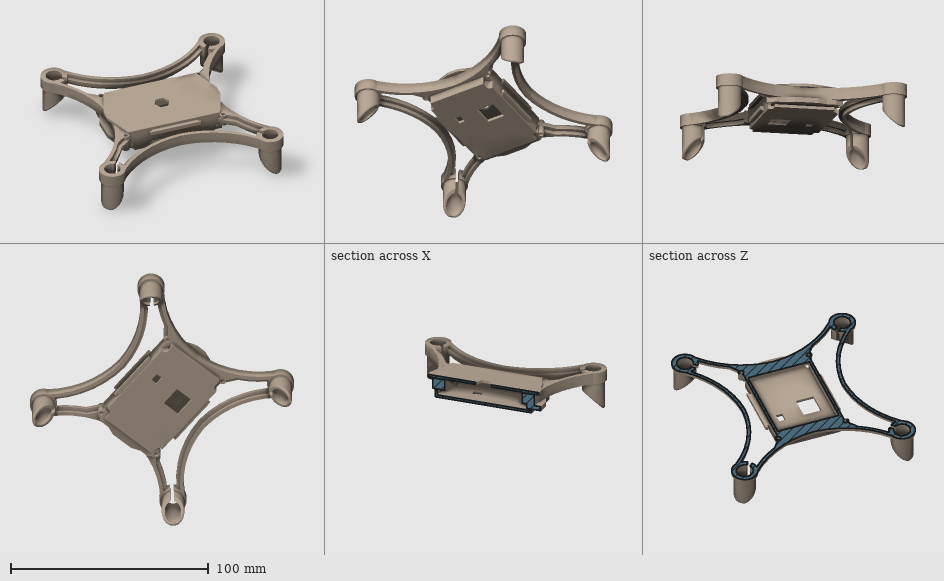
import cadquery as cq
import math

frame_height = 6.0
ring_center = 42.5
ring_radius = 6.795
leg_radius = 5.75
bore_radius = 4.15
leg_length = 16.0
leg_cut_height = 4.3
foot_fillet = 0.8
ring_slot_width = 1.9

arc_radius = 50.9
arc_center_x = -1.75
arc_center_y = 78.9
arm_limit = 46.0
rim_width = 1.9
flange_width = 1.9
flange_bottom, flange_top = 2.0, 4.0

hub_half_x = 18.0
hub_half_y = 23.5
hub_wall = 1.5
hub_open_half_y = 21.0
boss_x, boss_y = 18.1, 26.2
boss_radius = 1.75
screw_hole_radius = 2.1 / 2
gusset_x, gusset_y = 22.8, 32.4
tab_thickness = 2.5
tab_back = hub_half_y
tab_step_x, tab_step_y = 15.5, 29.8
tab_slope_x = 10.7
tab_nose_x, tab_nose_y = 5.9, 31.6

rail_height = 2.0
rail_reach = 2.1
rail_half_length = 13.6
rail_cap = 1.1
rail_neck_half_length = 12.4
frame_rail_bottom = 4.0
tray_rail_bottom = -3.0

tray_half_y = 26.5
tray_depth = 4.5
tray_floor = 1.5
tray_end_wall = 1.4
notch_radius = 4.5 / 2
notch_x, notch_y = 17.65, 23.65
post_radius = 3.0 / 2
post_x, post_y = 15.0, 21.8
tray_windows = [(-11.4, -1.8, -1.3, 9.7), (8.0, 11.4, 5.0, 9.7)]

lid_thickness = 1.5
lid_half_y = 30.5
lid_corner_y = 24.7
lid_nose_x = 2.8
lid_hex_flats = 7.0

SIGNS = (-1, 1)
CORNERS = [(sx, sy) for sx in SIGNS for sy in SIGNS]


def slab(outline, bottom, top):
    """Extrude a closed outline, drawn on the XY plane, between two heights."""
    return outline.extrude(top - bottom).translate((0, 0, bottom))


def block(x0, x1, y0, y1, bottom, top):
    return slab(cq.Workplane().center((x0 + x1) / 2, (y0 + y1) / 2).rect(x1 - x0, y1 - y0), bottom, top)


def cylinder(x, y, radius, bottom, top):
    return slab(cq.Workplane().center(x, y).circle(radius), bottom, top)


def star(inset, bottom, top):
    """Four-pointed body whose sides are the curved frame sides moved inward by `inset`."""
    radius = arc_radius + inset
    far_y = arm_limit + 1
    middle = math.asin(-arc_center_x / radius)
    end = math.acos((arc_center_y - far_y) / radius)

    def side_point(angle):
        return arc_center_x + radius * math.sin(angle), arc_center_y - radius * math.cos(angle)

    end_x, end_y = side_point(end)
    half_x, half_y = side_point((middle + end) / 2)
    bay = slab(
        cq.Workplane()
        .moveTo(-end_x, end_y)
        .threePointArc((-half_x, half_y), side_point(middle))
        .threePointArc((half_x, half_y), (end_x, end_y))
        .close(),
        bottom,
        top,
    )
    body = block(-arm_limit, arm_limit, -arm_limit, arm_limit, bottom, top)
    for quarter in range(4):
        body = body.cut(bay.rotate((0, 0, 0), (0, 0, 1), 90 * quarter))
    return body


def make_arms():
    rim = star(0, 0, frame_height).cut(star(rim_width, 0, frame_height))
    flange = star(0, flange_bottom, flange_top).cut(
        star(rim_width + flange_width, flange_bottom, flange_top)
    )
    return rim.union(flange)


def hub_outline(widening):
    """Hub with a gusset to each arm; `widening` moves the gusset sides outward in X."""
    quarter = [
        (hub_half_x, hub_half_y),
        (boss_x + widening, boss_y),
        (gusset_x + widening, gusset_y),
    ]
    right = quarter + [(x, -y) for x, y in reversed(quarter)]
    left = [(-x, -y) for x, y in right]
    return cq.Workplane().polyline(right[:3] + left[3:] + left[:3] + right[3:]).close()


def make_hub():
    hub = slab(hub_outline(0), 0, frame_height)
    skirt = slab(hub_outline(2 * flange_width / math.sqrt(2)), flange_bottom, flange_top)
    return hub.union(skirt).intersect(star(0, 0, frame_height))


def make_tab():
    """Thin tab under the -Y side, between the two front screw bosses."""
    half = [
        (boss_x, -tab_back),
        (boss_x, -boss_y),
        (boss_x + boss_radius * 0.5, -boss_y - boss_radius * 0.8),
        (tab_step_x, -tab_step_y),
        (tab_slope_x, -tab_step_y),
        (tab_nose_x, -tab_nose_y),
    ]
    outline = cq.Workplane().polyline(half + [(-x, y) for x, y in reversed(half)]).close()
    return slab(outline, -tab_thickness, 0)


def make_rails(bottom):
    """A T-shaped strap rail on each long side."""
    top = bottom + rail_height
    rails = cq.Workplane()
    neck_end = hub_half_x + rail_reach
    cap_start = neck_end - rail_cap
    for side in SIGNS:
        x0, x1, x2 = side * (hub_half_x - hub_wall), side * cap_start, side * neck_end
        neck = block(x0, x2, -rail_neck_half_length, rail_neck_half_length, bottom, top)
        cap = block(x1, x2, -rail_half_length, rail_half_length, bottom, top)
        rails = rails.add(neck.union(cap))
    return rails.combine()


def make_leg(sx, sy):
    """Ring and leg around one motor bore, the leg foot cut at 45 degrees on the inner side."""
    leg = cylinder(0, 0, leg_radius, -leg_length, 0)
    high = leg_length
    foot = -leg_length + leg_cut_height
    cutter = (
        cq.Workplane("XZ")
        .polyline([(-high, foot - high), (high, foot + high), (high, foot - high)])
        .close()
        .extrude(leg_radius + 1, both=True)
    )
    leg = leg.cut(cutter)
    leg = leg.faces("%PLANE").faces("not >Z").edges().fillet(foot_fillet)
    ring = cylinder(0, 0, ring_radius, 0, frame_height)
    inward = math.degrees(math.atan2(-sy, -sx))
    turned = leg.union(ring).rotate((0, 0, 0), (0, 0, 1), inward)
    return turned.translate((sx * ring_center, sy * ring_center, 0))


def make_bore(sx, sy):
    """Motor bore with the slot that opens it toward the middle."""
    bore = cylinder(0, 0, bore_radius, -leg_length, frame_height)
    slot = block(0, ring_radius + 1, -ring_slot_width / 2, ring_slot_width / 2, -leg_length, frame_height)
    inward = math.degrees(math.atan2(-sy, -sx))
    turned = bore.union(slot).rotate((0, 0, 0), (0, 0, 1), inward)
    return turned.translate((sx * ring_center, sy * ring_center, 0))


def make_frame():
    frame = make_arms().union(make_hub()).union(make_tab()).union(make_rails(frame_rail_bottom))
    for sx, sy in CORNERS:
        x, y = sx * boss_x, sy * boss_y
        boss_bottom = -tab_thickness if sy < 0 else 0
        frame = frame.union(make_leg(sx, sy))
        frame = frame.union(cylinder(x, y, boss_radius, boss_bottom, frame_height))
        frame = frame.cut(cylinder(x, y, screw_hole_radius, boss_bottom, frame_height))
        frame = frame.cut(make_bore(sx, sy))
    inner_x = hub_half_x - hub_wall
    return frame.cut(block(-inner_x, inner_x, -hub_open_half_y, hub_open_half_y, 0, frame_height))


def make_tray():
    floor_top = tray_floor - tray_depth
    inner_x = hub_half_x - hub_wall
    tray = block(-hub_half_x, hub_half_x, -tray_half_y, tray_half_y, -tray_depth, 0)
    tray = tray.cut(block(-inner_x, inner_x, -tray_half_y, tray_half_y - tray_end_wall, floor_top, 0))
    for sx in SIGNS:
        tray = tray.union(cylinder(sx * post_x, post_y, post_radius, floor_top, 0))
    for sx, sy in CORNERS:
        x = sx * notch_x
        tray = tray.cut(cylinder(x, sy * notch_y, notch_radius, -tray_depth, 0))
        tray = tray.cut(
            block(x - notch_radius, x + notch_radius, sy * notch_y, sy * tray_half_y, -tray_depth, 0)
        )
    for x0, x1, y0, y1 in tray_windows:
        tray = tray.cut(block(x0, x1, y0, y1, -tray_depth, floor_top))
    return tray.union(make_rails(tray_rail_bottom))


def make_lid():
    top = frame_height + lid_thickness
    half = [
        (lid_nose_x, lid_half_y),
        (hub_half_x, lid_corner_y),
        (hub_half_x, -lid_corner_y),
        (lid_nose_x, -lid_half_y),
    ]
    outline = cq.Workplane().polyline(half + [(-x, y) for x, y in reversed(half)]).close()
    hex_corners = lid_hex_flats / math.cos(math.pi / 6)
    hexagon = slab(cq.Workplane().polygon(6, hex_corners), frame_height, top)
    lid = slab(outline, frame_height, top).cut(hexagon.rotate((0, 0, 0), (0, 0, 1), 30))
    for sx, sy in CORNERS:
        lid = lid.cut(cylinder(sx * boss_x, sy * boss_y, screw_hole_radius, frame_height, top))
    return lid


frame = make_frame()
tray = make_tray()
lid = make_lid()

result = cq.Compound.makeCompound([frame.val(), tray.val(), lid.val()])